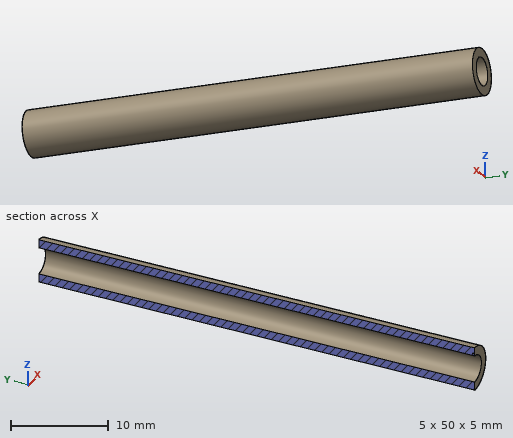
import cadquery as cq

length = 50.0
outer_diameter = 5.0
bore_diameter = 3.0


def tube():
    """Tube centred on the origin, bored through from end to end."""
    end_plane = cq.Workplane("XZ", origin=(0, length / 2, 0))
    ring = end_plane.circle(outer_diameter / 2).circle(bore_diameter / 2)
    return ring.extrude(length)


result = tube()